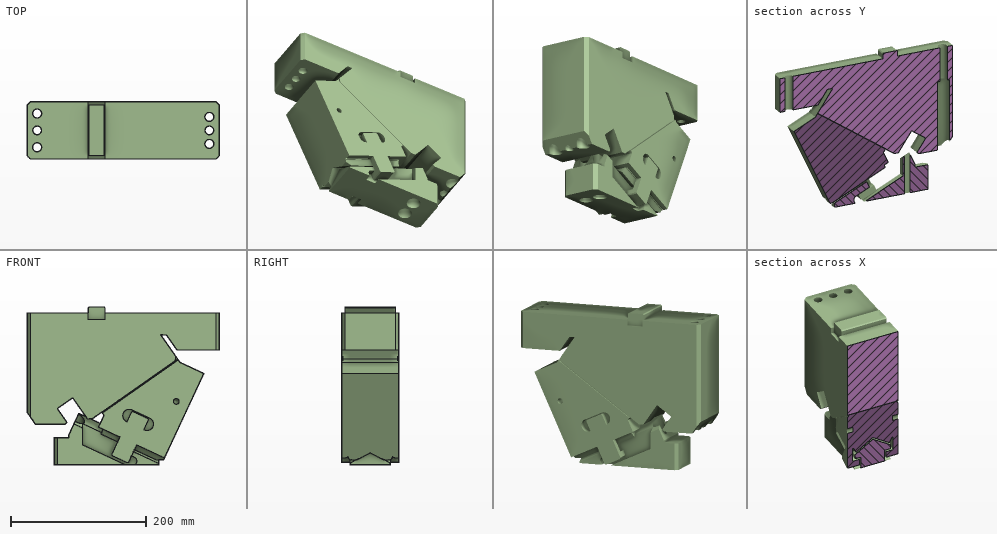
import cadquery as cq
import math


CONTACT_ANGLE = 35.0
DRIVER_ANGLE = 25.0
FAR = 400.0

contact_cos = math.cos(math.radians(CONTACT_ANGLE))
contact_sin = math.sin(math.radians(CONTACT_ANGLE))
driver_cos = math.cos(math.radians(DRIVER_ANGLE))
driver_sin = math.sin(math.radians(DRIVER_ANGLE))

HOLDER_LENGTH = 285.0
HOLDER_WIDTH = 85.0
HOLDER_BOTTOM = 60.0
HOLDER_TOP = 225.0
FLANGE_THICKNESS = 55.0
HOLDER_CORNER_CHAMFER = 5.0
TOE_CHAMFER_LENGTH = 12.5
TOE_LIP_CHAMFER = 3.0
CONTACT_CORNER = (223.2, 156.8)
NOSE_BOTTOM = 68.0
NOSE_GROOVE_TOP = 73.2
NOTCH_APEX = (67.6, 99.2)
NOTCH_WIDTH = 27.6
NOTCH_DEPTH = 24.7
RELIEF_SLOT_DEPTH = 43.5
RELIEF_SLOT_TOP = 192.2
RELIEF_SLOT_MOUTH_X = 222.0
FLANK_RELIEF_DEPTH = 2.0
CORNER_RELIEF = 5.0

KEY_X = 90.5
KEY_WIDTH = 25.0
KEY_HEIGHT = 9.0
KEY_SLOT_DEPTH = 9.5
KEY_END_GAP = 5.0
KEY_CHAMFER = 1.5

SCREW_DIAMETER = 13.0
DOWEL_DIAMETER = 12.5
HEAD_DIAMETER = 20.0
HOLE_EDGE_DISTANCE = 15.0
TOE_SCREW_OFFSET = 25.0
FLANGE_SCREW_OFFSET = 20.0

RIDGE_START = (76.7, 76.4)
DRIVER_LEFT = 40.0
DRIVER_RIGHT = 195.2
DRIVER_HALF_WIDTH = 30.0
DRIVER_CORNER_CHAMFER = 5.0
ROOF_ANGLE = 30.0
STEP_TOP = 40.3
STEP_WALL_X = 61.5
ACCESS_HOLE_X = 74.75
ACCESS_HOLE_DIAMETER = 20.5
ACCESS_HOLE_OFFSET = 12.5
POCKET_WALL_X = 82.3
POCKET_FLOOR_V = -40.0
POCKET_INNER_Y = 20.0
UNDERCUT_TOP_V = -24.2
UNDERCUT_END_U = 108.3
UNDERCUT_RADIUS = 6.0

SLIDE_LEFT_U = 35.0
SLIDE_RIGHT_U = 143.0
SLIDE_TOP_V = 131.8
SLIDE_UNDERSIDE_V = -6.2
SLIDE_FLANK_GAP = 1.5
SLIDE_CONTACT_LENGTH = 137.4
RIB_START_U = 42.5
RIB_HALF_WIDTH = 33.2
RIB_GROOVE_WIDTH = 2.6
RIB_CLEARANCE = 2.0
SLIDE_LOWEST_Z = 7.6
HOOK_LEFT_U = 70.0
HOOK_WIDTH = 27.5
HOOK_BOTTOM_V = -36.0
HOOK_FOOT_TOP_V = -26.3
HOOK_TOP_V = 36.2
HOOK_INNER_Y = 33.3
HOOK_FOOT_INNER_Y = 22.0
HOOK_CORNER_CHAMFER = 1.5
POCKET_WALL_CLEARANCE = 7.5
KEYHOLE_SPACING = 29.4
KEYHOLE_DIAMETER = 19.0
KEYHOLE_V = 28.3
PIN_HOLE = (221.0, 94.0)
PIN_HOLE_DIAMETER = 8.5
PIN_HOLE_DEPTH = 15.0
DRILL_TIP_ANGLE = 118.0

half_width = HOLDER_WIDTH / 2
flange_bottom = HOLDER_TOP - FLANGE_THICKNESS
contact_tan = contact_sin / contact_cos
nose_x = CONTACT_CORNER[0] - (CONTACT_CORNER[1] - NOSE_BOTTOM) / contact_tan
hook_right_u = HOOK_LEFT_U + HOOK_WIDTH
hook_mid_u = HOOK_LEFT_U + HOOK_WIDTH / 2
roof_tan = math.tan(math.radians(ROOF_ANGLE))
eave_v = -DRIVER_HALF_WIDTH * roof_tan
rib_root_v = SLIDE_UNDERSIDE_V + RIB_GROOVE_WIDTH * roof_tan


def from_contact_corner(down_face, square_up):
    """X, Z of a point measured down the contact face and square to it, into the holder."""
    x = CONTACT_CORNER[0] - down_face * contact_cos - square_up * contact_sin
    z = CONTACT_CORNER[1] - down_face * contact_sin + square_up * contact_cos
    return (x, z)


def driver_point(u, v):
    """X, Z of a point given in the driver frame."""
    return (RIDGE_START[0] + u * driver_cos + v * driver_sin,
            RIDGE_START[1] - u * driver_sin + v * driver_cos)


def driver_coordinates(point):
    """u, v of a point given in X, Z."""
    dx = point[0] - RIDGE_START[0]
    dz = point[1] - RIDGE_START[1]
    return (dx * driver_cos - dz * driver_sin, dx * driver_sin + dz * driver_cos)


def plate(points, y_from, y_to):
    """Prism of an X, Z outline between two Y planes."""
    return cq.Workplane("XZ", origin=(0, y_from, 0)).polyline(points).close().extrude(y_from - y_to)


def tilted_plate(points, y_from, y_to):
    """Prism of a u, v outline between two Y planes."""
    return plate([driver_point(u, v) for u, v in points], y_from, y_to)


def tilted_box(u_from, u_to, v_from, v_to, y_from, y_to):
    return tilted_plate([(u_from, v_from), (u_to, v_from), (u_to, v_to), (u_from, v_to)], y_from, y_to)


def along_ridge(points, u_from, u_to):
    """Prism of a Y, v cross-section between two stations along the ridge."""
    x, z = driver_point(u_from, 0)
    section = cq.Plane(origin=(x, 0, z), xDir=(0, 1, 0), normal=(driver_cos, 0, -driver_sin))
    return cq.Workplane(section).polyline(points).close().extrude(u_to - u_from)


def both_sides(solid):
    """The solid and its mirror image across Y = 0."""
    return solid.union(solid.mirror("XZ"))


def vertical_cylinder(x, y, diameter, z_from, z_to):
    return cq.Workplane("XY", origin=(x, y, z_from)).circle(diameter / 2).extrude(z_to - z_from)


def roof_prism(rise=0.0):
    """Gable-shaped space of the driver, raised along v, endless downward and along the ridge."""
    eave = rise - HOLDER_WIDTH * roof_tan
    gable = [(-HOLDER_WIDTH, -FAR), (HOLDER_WIDTH, -FAR), (HOLDER_WIDTH, eave),
             (0, rise), (-HOLDER_WIDTH, eave)]
    return along_ridge(gable, -FAR, FAR)


def holder_block():
    notch_foot_x = NOTCH_APEX[0] + (NOTCH_APEX[1] - NOSE_BOTTOM) * contact_tan
    notch_corner = (NOTCH_APEX[0] - NOTCH_WIDTH * contact_cos, NOTCH_APEX[1] - NOTCH_WIDTH * contact_sin)
    lip = (notch_corner[0] + NOTCH_DEPTH * contact_sin, notch_corner[1] - NOTCH_DEPTH * contact_cos)
    slot_right_x = RELIEF_SLOT_MOUTH_X - (RELIEF_SLOT_TOP - flange_bottom) * contact_tan
    outline = [
        (0, HOLDER_TOP),
        (0, HOLDER_BOTTOM + TOE_CHAMFER_LENGTH / contact_tan),
        (TOE_CHAMFER_LENGTH, HOLDER_BOTTOM),
        (lip[0] - TOE_LIP_CHAMFER, HOLDER_BOTTOM),
        lip,
        notch_corner,
        NOTCH_APEX,
        (notch_foot_x, NOSE_BOTTOM),
        (nose_x, NOSE_BOTTOM),
        CONTACT_CORNER,
        from_contact_corner(0, RELIEF_SLOT_DEPTH),
        (slot_right_x, RELIEF_SLOT_TOP),
        (RELIEF_SLOT_MOUTH_X, flange_bottom),
        (HOLDER_LENGTH, flange_bottom),
        (HOLDER_LENGTH, HOLDER_TOP),
    ]
    block = plate(outline, -half_width, half_width)
    corners = (cq.Workplane("XY").center(HOLDER_LENGTH / 2, 0).rect(HOLDER_LENGTH, HOLDER_WIDTH)
               .extrude(FAR).edges("|Z").chamfer(HOLDER_CORNER_CHAMFER))
    return block.intersect(corners)


def holder_corner_relief():
    """Chamfer of the upper contact corner, cut only into the two side faces."""
    corner = [CONTACT_CORNER, from_contact_corner(CORNER_RELIEF, 0), from_contact_corner(0, CORNER_RELIEF)]
    return both_sides(plate(corner, -half_width, -half_width + FLANK_RELIEF_DEPTH))


def nose_groove():
    """V groove along X that clears the driver ridge under the nose."""
    half_groove = (NOSE_GROOVE_TOP - NOSE_BOTTOM) / roof_tan
    section = [(-half_groove, NOSE_BOTTOM), (half_groove, NOSE_BOTTOM), (0, NOSE_GROOVE_TOP)]
    start = cq.Workplane("YZ", origin=(NOTCH_APEX[0], 0, 0))
    return start.polyline(section).close().extrude(nose_x + half_groove - NOTCH_APEX[0])


def holder_holes():
    """Two screw holes and a dowel hole at each end; the toe screws have deep head bores from below."""
    flange_x = HOLDER_LENGTH - HOLE_EDGE_DISTANCE
    holes = vertical_cylinder(HOLE_EDGE_DISTANCE, 0, DOWEL_DIAMETER, 0, FAR)
    holes = holes.union(vertical_cylinder(flange_x, 0, DOWEL_DIAMETER, 0, FAR))
    for side in (-1, 1):
        toe_y = side * TOE_SCREW_OFFSET
        flange_y = side * FLANGE_SCREW_OFFSET
        holes = holes.union(vertical_cylinder(HOLE_EDGE_DISTANCE, toe_y, SCREW_DIAMETER, 0, FAR))
        holes = holes.union(vertical_cylinder(HOLE_EDGE_DISTANCE, toe_y, HEAD_DIAMETER, 0, flange_bottom))
        holes = holes.union(vertical_cylinder(flange_x, flange_y, SCREW_DIAMETER, 0, FAR))
    return holes


def location_key():
    key_bottom = HOLDER_TOP - KEY_SLOT_DEPTH
    key_length = HOLDER_WIDTH - 2 * KEY_END_GAP
    key_thickness = KEY_SLOT_DEPTH + KEY_HEIGHT
    key = cq.Workplane("XY").box(KEY_WIDTH, key_length, key_thickness, centered=(False, True, False))
    key = key.faces(">Z").edges("|Y").chamfer(KEY_CHAMFER)
    return key.translate((KEY_X, 0, key_bottom))


def make_holder():
    key_slot = (cq.Workplane("XY").box(KEY_WIDTH, HOLDER_WIDTH, FAR, centered=(False, True, False))
                .translate((KEY_X, 0, HOLDER_TOP - KEY_SLOT_DEPTH)))
    holder = holder_block().cut(key_slot).cut(holder_corner_relief()).cut(nose_groove()).cut(holder_holes())
    return holder.union(location_key())


def driver_block():
    slope_foot_z = RIDGE_START[1] - (RIDGE_START[0] - STEP_WALL_X) * driver_cos / driver_sin
    ridge_right_z = RIDGE_START[1] - (DRIVER_RIGHT - RIDGE_START[0]) * driver_sin / driver_cos
    outline = [
        (DRIVER_LEFT, 0),
        (DRIVER_RIGHT, 0),
        (DRIVER_RIGHT, ridge_right_z),
        RIDGE_START,
        (STEP_WALL_X, slope_foot_z),
        (STEP_WALL_X, STEP_TOP),
        (DRIVER_LEFT, STEP_TOP),
    ]
    block = plate(outline, -DRIVER_HALF_WIDTH, DRIVER_HALF_WIDTH)
    block = block.faces("<X").edges("|Z").chamfer(DRIVER_CORNER_CHAMFER)
    return block.intersect(roof_prism())


def driver_pockets():
    """Side pockets for the slide hooks, open at the top and undercut toward +X."""
    wall_u = HOOK_LEFT_U + POCKET_WALL_CLEARANCE
    wall_top = driver_point(wall_u, 0)
    floor_start = driver_point(0, POCKET_FLOOR_V)
    floor_z = floor_start[1] - (POCKET_WALL_X - floor_start[0]) * driver_sin / driver_cos
    opening = [
        (POCKET_WALL_X, floor_z),
        driver_point(wall_u, POCKET_FLOOR_V),
        wall_top,
        (POCKET_WALL_X, wall_top[1] + (wall_top[0] - POCKET_WALL_X) * driver_sin / driver_cos),
    ]
    inner = -POCKET_INNER_Y
    undercut = tilted_box(HOOK_LEFT_U, UNDERCUT_END_U, POCKET_FLOOR_V, UNDERCUT_TOP_V, -half_width, inner)
    undercut = undercut.edges("|Y").edges(">X").fillet(UNDERCUT_RADIUS)
    return both_sides(plate(opening, -half_width, inner).union(undercut))


def make_driver():
    driver = driver_block().cut(driver_pockets())
    for side in (-1, 1):
        hole_y = side * ACCESS_HOLE_OFFSET
        driver = driver.cut(vertical_cylinder(ACCESS_HOLE_X, hole_y, ACCESS_HOLE_DIAMETER, 0, FAR))
    return driver


def slide_plate():
    """Full-width plate under the contact face, with a gap to the holder along both side faces."""
    end_u, end_v = driver_coordinates(from_contact_corner(SLIDE_CONTACT_LENGTH, 0))
    corner_u, corner_v = driver_coordinates(CONTACT_CORNER)
    square_slope = math.tan(math.radians(90 - CONTACT_ANGLE - DRIVER_ANGLE))
    outline = [
        (end_u, end_v),
        (SLIDE_LEFT_U, end_v - (SLIDE_LEFT_U - end_u) * square_slope),
        (SLIDE_LEFT_U, SLIDE_UNDERSIDE_V),
        (SLIDE_RIGHT_U, SLIDE_UNDERSIDE_V),
        (SLIDE_RIGHT_U, SLIDE_TOP_V),
        (corner_u + (corner_v - SLIDE_TOP_V) / square_slope, SLIDE_TOP_V),
        (corner_u, corner_v),
    ]
    gap = [from_contact_corner(-FAR, 0), from_contact_corner(FAR, 0),
           from_contact_corner(FAR, -SLIDE_FLANK_GAP), from_contact_corner(-FAR, -SLIDE_FLANK_GAP)]
    flank_gaps = both_sides(plate(gap, -half_width, -half_width + FLANK_RELIEF_DEPTH))
    return tilted_plate(outline, -half_width, half_width).cut(flank_gaps)


def slide_rib():
    """Rib over the driver roof, with sides square to the roof; its underside is left to be cut."""
    foot_half_width = RIB_HALF_WIDTH - (rib_root_v - eave_v) * roof_tan
    section = [(-RIB_HALF_WIDTH, rib_root_v), (-foot_half_width, eave_v),
               (foot_half_width, eave_v), (RIB_HALF_WIDTH, rib_root_v)]
    return along_ridge(section, RIB_START_U, SLIDE_RIGHT_U)


def rib_grooves():
    """Shallow groove along each side of the rib, its wall parallel to the roof."""
    section = [(-RIB_HALF_WIDTH, rib_root_v), (-RIB_HALF_WIDTH - RIB_GROOVE_WIDTH, SLIDE_UNDERSIDE_V),
               (-RIB_HALF_WIDTH, SLIDE_UNDERSIDE_V)]
    return both_sides(along_ridge(section, RIB_START_U, SLIDE_RIGHT_U))


def slide_hooks():
    """Return hooks: flush with the side faces, with feet that reach into the driver pockets."""
    neck = tilted_box(HOOK_LEFT_U, hook_right_u, HOOK_BOTTOM_V, HOOK_TOP_V, -half_width, -HOOK_INNER_Y)
    foot = tilted_box(HOOK_LEFT_U, hook_right_u, HOOK_BOTTOM_V, HOOK_FOOT_TOP_V,
                      -half_width, -HOOK_FOOT_INNER_Y)
    hook = neck.union(foot)
    corners = tilted_box(HOOK_LEFT_U, hook_right_u, HOOK_BOTTOM_V, HOOK_TOP_V, -half_width, half_width)
    corners = corners.edges("|Y").chamfer(HOOK_CORNER_CHAMFER)
    return both_sides(hook.intersect(corners))


def hook_recesses():
    """Rounded recess around the upper end of each hook."""
    x, z = driver_point(hook_mid_u, KEYHOLE_V)
    side_face = cq.Plane(origin=(x, -half_width, z), xDir=(driver_cos, 0, -driver_sin), normal=(0, -1, 0))
    recess = (cq.Workplane(side_face).slot2D(KEYHOLE_SPACING + KEYHOLE_DIAMETER, KEYHOLE_DIAMETER)
              .extrude(HOOK_INNER_Y - half_width))
    return both_sides(recess)


def pin_holes():
    """Blind drilled hole in each side face."""
    radius = PIN_HOLE_DIAMETER / 2
    tip = radius / math.tan(math.radians(DRILL_TIP_ANGLE / 2))
    profile = [(0, 0), (radius, 0), (radius, PIN_HOLE_DEPTH), (0, PIN_HOLE_DEPTH + tip)]
    drill = cq.Workplane("XY").polyline(profile).close().revolve(360, (0, 0), (0, 1))
    return both_sides(drill.translate((PIN_HOLE[0], -half_width, PIN_HOLE[1])))


def make_slide():
    below_slide = (cq.Workplane("XY").box(FAR, HOLDER_WIDTH, FAR, centered=(False, True, False))
                   .translate((0, 0, SLIDE_LOWEST_Z - FAR)))
    slide = slide_plate().cut(rib_grooves()).union(slide_rib())
    slide = slide.cut(below_slide).cut(roof_prism(RIB_CLEARANCE))
    slide = slide.cut(hook_recesses()).cut(pin_holes())
    return slide.union(slide_hooks())


holder = make_holder()
driver = make_driver()
slide = make_slide()

result = cq.Compound.makeCompound([holder.solids().val(), driver.solids().val(), slide.solids().val()])